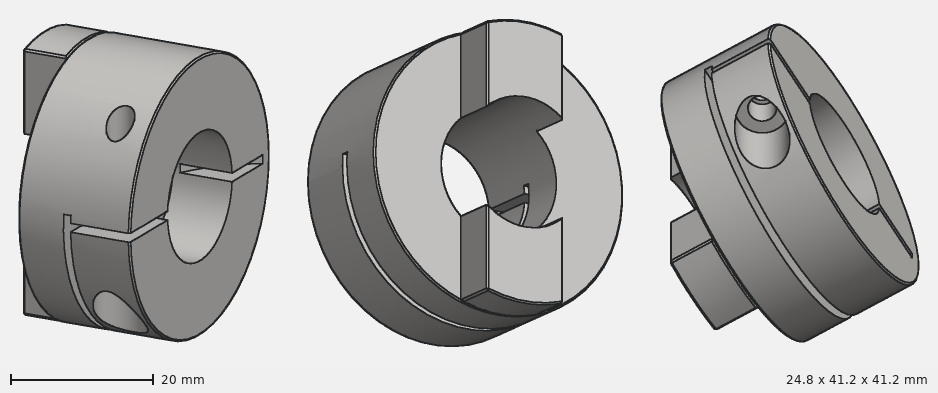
import cadquery as cq
import math

outer_diameter = 41.15
outer_radius = outer_diameter / 2
bore_diameter = 19.0
bore_radius = bore_diameter / 2
overall_length = 24.78
lug_length = 6.98
lug_width = 12.5
edge_chamfer = 0.254

cross_slot_start = 14.2
cross_slot_width = 1.15
cross_slot_end = cross_slot_start + cross_slot_width
cross_slot_top = 1.78
slit_width = 1.3

blade_radius = 20.0
blade_entry_x = 16.5
blade_entry_angle = 65.0

screw_x = 20.0
screw_y = -14.5
screw_hole_diameter = 4.0
screw_head_diameter = 7.7
screw_seat_z = -6.0


def cylinder_along_x(radius, start_x, end_x):
    """Solid cylinder on the hub axis."""
    return cq.Workplane("YZ").workplane(offset=start_x).circle(radius).extrude(end_x - start_x)


def make_body():
    """Round hub body with both outer edges chamfered."""
    body = cylinder_along_x(outer_radius, lug_length, overall_length)
    return body.faces("<X or >X").edges().chamfer(edge_chamfer)


def make_lugs():
    """Tongue on the hub face, chamfered round its tip and outer faces; the bore later splits it."""
    tongue = cq.Workplane("YZ").rect(lug_width, outer_diameter).extrude(lug_length)
    tongue = tongue.intersect(cylinder_along_x(outer_radius, 0, lug_length))
    tip_edges = tongue.faces("<X").edges()
    outer_face_edges = tongue.faces("%CYLINDER").edges()
    return tongue.newObject(tip_edges.add(outer_face_edges).vals()).chamfer(edge_chamfer)


def make_cross_slot():
    """Slot across the axis, cutting through the lower half of the hub."""
    slot_height = outer_radius + cross_slot_top
    return cq.Workplane("XY").box(
        cross_slot_width, outer_diameter, slot_height, centered=(False, True, False)
    ).translate((cross_slot_start, 0, -outer_radius))


def make_slit():
    """Lengthwise slit from the -Y side into the bore, with the blade's round run-out beyond it."""
    straight = cq.Workplane("XY").box(
        overall_length - cross_slot_end, outer_radius, slit_width, centered=(False, False, True)
    ).translate((cross_slot_end, -outer_radius, 0))
    entry_angle = math.radians(blade_entry_angle)
    blade_x = blade_entry_x + blade_radius * math.sin(entry_angle)
    blade_y = bore_radius - blade_radius * math.cos(entry_angle)
    blade = (
        cq.Workplane("XY")
        .workplane(offset=-slit_width / 2)
        .center(blade_x, blade_y)
        .circle(blade_radius)
        .extrude(slit_width)
    )
    return straight.union(blade)


def make_screw_hole():
    """Clearance hole for the clamp screw, with a head counterbore from below."""

    def vertical_cylinder(diameter, bottom_z, top_z):
        plane = cq.Workplane("XY").workplane(offset=bottom_z).center(screw_x, screw_y)
        return plane.circle(diameter / 2).extrude(top_z - bottom_z)

    shank = vertical_cylinder(screw_hole_diameter, -outer_radius, outer_radius)
    head = vertical_cylinder(screw_head_diameter, -outer_radius, screw_seat_z)
    return shank.union(head)


hub = make_body().union(make_lugs())
hub = hub.cut(cylinder_along_x(bore_radius, 0, overall_length))
hub = hub.cut(make_cross_slot())
hub = hub.cut(make_slit())
result = hub.cut(make_screw_hole())